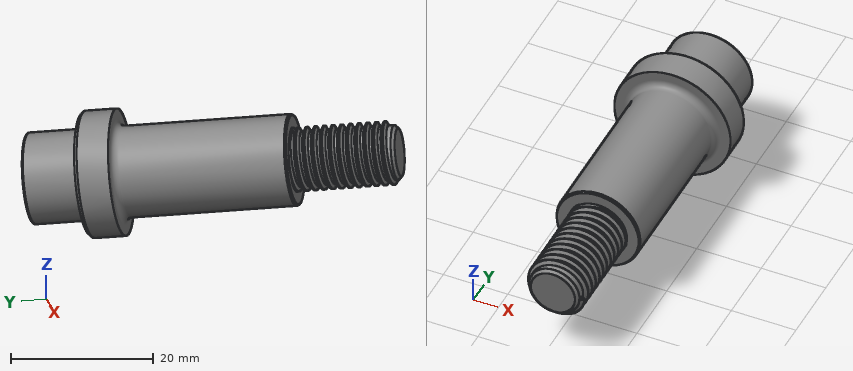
import cadquery as cq
import math


overall_length = 53.0

head_length = 8.0
head_diameter = 13.0
head_chamfer = 0.2
shank_diameter = 7.8
tip_chamfer = 0.5
screw_clocking = 4.5

thread_diameter = 9.0
thread_turns = 12
thread_tip_gap = 0.9
thread_crest_width = 0.15
thread_flank_angle = 30.0
thread_root_sink = 0.15

flange_diameter = 18.0
flange_thickness = 5.0
flange_chamfer = 0.5
barrel_diameter = head_diameter
barrel_chamfer_width = 0.15
barrel_chamfer_length = 0.25
flange_fillet = 1.0
sleeve_length = 30.0
bore_clearance = 0.05

bore_diameter = thread_diameter + bore_clearance
shank_length = overall_length - head_length
shank_radius = shank_diameter / 2
thread_height = (thread_diameter - shank_diameter) / 2
thread_run = shank_length - sleeve_length
thread_pitch = thread_run / thread_turns


def make_sleeve():
    """Flanged tube with a clearance bore for the screw."""
    bore_radius = bore_diameter / 2
    flange_radius = flange_diameter / 2
    barrel_radius = barrel_diameter / 2
    fillet_start = barrel_radius + flange_fillet
    fillet_end = -flange_thickness - flange_fillet
    arc_inset = flange_fillet * (1 - math.sqrt(0.5))
    return (
        cq.Workplane("XY")
        .moveTo(bore_radius, 0)
        .lineTo(flange_radius - flange_chamfer, 0)
        .lineTo(flange_radius, -flange_chamfer)
        .lineTo(flange_radius, -flange_thickness)
        .lineTo(fillet_start, -flange_thickness)
        .threePointArc(
            (barrel_radius + arc_inset, -flange_thickness - arc_inset),
            (barrel_radius, fillet_end),
        )
        .lineTo(barrel_radius, -sleeve_length + barrel_chamfer_length)
        .lineTo(barrel_radius - barrel_chamfer_width, -sleeve_length)
        .lineTo(bore_radius, -sleeve_length)
        .close()
        .revolve(360, (0, 0, 0), (0, 1, 0))
    )


def make_screw_blank():
    """Cylindrical head and plain shank, standing along Z with the head up."""
    head = (
        cq.Workplane("XY")
        .circle(head_diameter / 2)
        .extrude(head_length)
        .edges()
        .chamfer(head_chamfer)
    )
    shank = (
        cq.Workplane("XY")
        .circle(shank_radius)
        .extrude(-shank_length)
        .faces("<Z")
        .chamfer(tip_chamfer)
    )
    return head.union(shank)


def make_thread_ridge():
    """Right-handed trapezoidal ridge, starting near the tip of the shank."""
    start_z = thread_tip_gap - shank_length
    flank_slope = math.tan(math.radians(thread_flank_angle))
    crest_half = thread_crest_width / 2
    root_half = crest_half + (thread_height + thread_root_sink) * flank_slope
    root_radius = shank_radius - thread_root_sink
    crest_radius = thread_diameter / 2
    helix = cq.Wire.makeHelix(thread_pitch, thread_run, root_radius, cq.Vector(0, 0, start_z))
    return (
        cq.Workplane("XZ")
        .polyline([
            (root_radius, start_z - root_half),
            (crest_radius, start_z - crest_half),
            (crest_radius, start_z + crest_half),
            (root_radius, start_z + root_half),
        ])
        .close()
        .sweep(cq.Workplane(obj=helix), isFrenet=True)
    )


def make_screw():
    """Threaded screw turned to its clocking and laid along Y, head towards +Y."""
    upright = make_screw_blank().union(make_thread_ridge())
    clocked = upright.rotate((0, 0, 0), (0, 0, 1), screw_clocking)
    return clocked.rotate((0, 0, 0), (1, 0, 0), -90)


sleeve = make_sleeve()
screw = make_screw()

result = cq.Compound.makeCompound([sleeve.val(), screw.solids().val()])